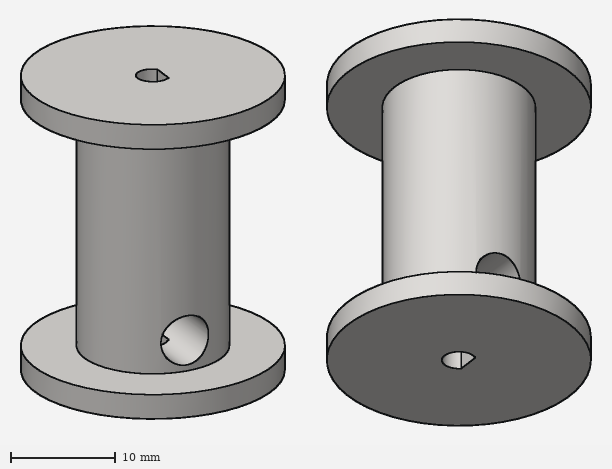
import cadquery as cq

height = 30.48
flange_diameter = 25.4
flange_thickness = 2.53
core_diameter = 14.72

bore_diameter = 3.25
flat_offset = 1.07

cross_hole_diameter = 5.1
cross_hole_height = 5.7


def make_spool():
    """Core with a flange at each end, standing on Z = 0."""
    spool = cq.Workplane("XY").circle(core_diameter / 2).extrude(height)
    for base in (0, height - flange_thickness):
        flange = (
            cq.Workplane("XY", origin=(0, 0, base))
            .circle(flange_diameter / 2)
            .extrude(flange_thickness)
        )
        spool = spool.union(flange)
    return spool


def make_shaft_bore():
    """Full-height round bore, cut off at the flat."""
    bore = cq.Workplane("XY").circle(bore_diameter / 2).extrude(height)
    below_flat = (
        cq.Workplane("XY", origin=(0, flat_offset, 0))
        .rect(bore_diameter, 2 * bore_diameter)
        .extrude(height)
        .translate((0, -bore_diameter, 0))
    )
    return bore.intersect(below_flat)


def make_cross_hole():
    """Cylinder passing right through the core along X."""
    return (
        cq.Workplane("YZ", origin=(0, 0, cross_hole_height))
        .circle(cross_hole_diameter / 2)
        .extrude(core_diameter / 2, both=True)
    )


result = make_spool().cut(make_shaft_bore()).cut(make_cross_hole())